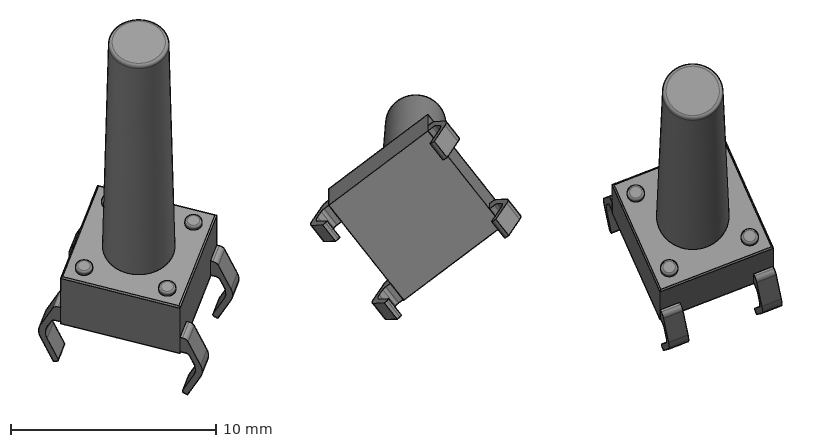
import cadquery as cq
import math

BODY_LENGTH = 6.1
BODY_WIDTH = 5.99
BODY_HEIGHT = 3.7
BODY_EDGE_CHAMFER = 0.08

ACTUATOR_TOP = 20.0
ACTUATOR_BASE_DIAMETER = 3.54
ACTUATOR_TIP_DIAMETER = 2.95
ACTUATOR_TIP_FILLET = 0.18

RIVET_DIAMETER = 0.85
RIVET_HEIGHT = 0.23
RIVET_FILLET = 0.12
RIVET_PITCH = 4.25

LEG_REACH = 8.37 / 2
LEG_WIDTH = 1.03
LEG_INSET = 0.02
LEG_THICKNESS = 0.33
LEG_DEPTH = 3.18
LEG_ANGLE = math.radians(21.4)
LEG_BEND_RADIUS = 1.23
LEG_BEND_Z = -1.02
LEG_ROOT_TOP = 1.27
LEG_ROOT_BOTTOM = 0.12
LEG_ROOT_EMBED = 0.3
LEG_SHOULDER_FILLET = 0.3
LEG_UNDERSIDE_FILLET = 0.2
LEG_TIP_FILLET = 0.15


def make_body():
    body = cq.Workplane("XY").box(BODY_LENGTH, BODY_WIDTH, BODY_HEIGHT, centered=(True, True, False))
    return body.faces(">Z").edges().chamfer(BODY_EDGE_CHAMFER)


def make_actuator():
    height = ACTUATOR_TOP - BODY_HEIGHT
    actuator = (
        cq.Workplane("XY", origin=(0, 0, BODY_HEIGHT))
        .circle(ACTUATOR_BASE_DIAMETER / 2)
        .workplane(offset=height)
        .circle(ACTUATOR_TIP_DIAMETER / 2)
        .loft(ruled=True)
    )
    return actuator.faces(">Z").edges().fillet(ACTUATOR_TIP_FILLET)


def make_rivets():
    rivets = (
        cq.Workplane("XY", origin=(0, 0, BODY_HEIGHT))
        .rect(RIVET_PITCH, RIVET_PITCH, forConstruction=True)
        .vertices()
        .circle(RIVET_DIAMETER / 2)
        .extrude(RIVET_HEIGHT)
    )
    return rivets.faces(">Z").edges().fillet(RIVET_FILLET)


def bend_point(reach, angle):
    """Point on the bend of a leg edge whose outermost X is reach, with the angle measured upward from +X."""
    return (
        reach - LEG_BEND_RADIUS * (1 - math.cos(angle)),
        LEG_BEND_Z + LEG_BEND_RADIUS * math.sin(angle),
    )


def slide_to_height(point, z):
    """Follow the straight leg stretch through a bend end until it reaches height z."""
    return (point[0] - abs(z - point[1]) * math.tan(LEG_ANGLE), z)


def make_leg():
    """One leg on the +X side, centred on Y = 0."""
    inner_reach = LEG_REACH - LEG_THICKNESS / math.cos(LEG_ANGLE)
    outer_upper = bend_point(LEG_REACH, LEG_ANGLE)
    outer_middle = bend_point(LEG_REACH, 0)
    outer_lower = bend_point(LEG_REACH, -LEG_ANGLE)
    inner_upper = bend_point(inner_reach, LEG_ANGLE)
    inner_middle = bend_point(inner_reach, 0)
    inner_lower = bend_point(inner_reach, -LEG_ANGLE)

    root_x = BODY_LENGTH / 2 - LEG_ROOT_EMBED
    shoulder = slide_to_height(outer_upper, LEG_ROOT_TOP)
    underside = slide_to_height(inner_upper, LEG_ROOT_BOTTOM)
    tip_outer = slide_to_height(outer_lower, -LEG_DEPTH)
    tip_inner = (
        tip_outer[0] - LEG_THICKNESS * math.cos(LEG_ANGLE),
        tip_outer[1] + LEG_THICKNESS * math.sin(LEG_ANGLE),
    )

    leg = (
        cq.Workplane("XZ")
        .moveTo(root_x, LEG_ROOT_TOP)
        .lineTo(*shoulder)
        .lineTo(*outer_upper)
        .threePointArc(outer_middle, outer_lower)
        .lineTo(*tip_outer)
        .lineTo(*tip_inner)
        .lineTo(*inner_lower)
        .threePointArc(inner_middle, inner_upper)
        .lineTo(*underside)
        .lineTo(root_x, LEG_ROOT_BOTTOM)
        .close()
        .extrude(LEG_WIDTH / 2, both=True)
    )
    rounded_corners = (
        (shoulder, LEG_SHOULDER_FILLET),
        (underside, LEG_UNDERSIDE_FILLET),
        (tip_inner, LEG_TIP_FILLET),
    )
    for (x, z), radius in rounded_corners:
        leg = leg.edges(cq.NearestToPointSelector((x, 0, z))).fillet(radius)
    return leg


def make_legs():
    leg_y = (BODY_WIDTH - LEG_WIDTH) / 2 - LEG_INSET
    leg = make_leg()
    right_pair = leg.translate((0, leg_y, 0)).union(leg.translate((0, -leg_y, 0)))
    return right_pair.union(right_pair.mirror("YZ"))


result = make_body().union(make_actuator()).union(make_rivets()).union(make_legs())